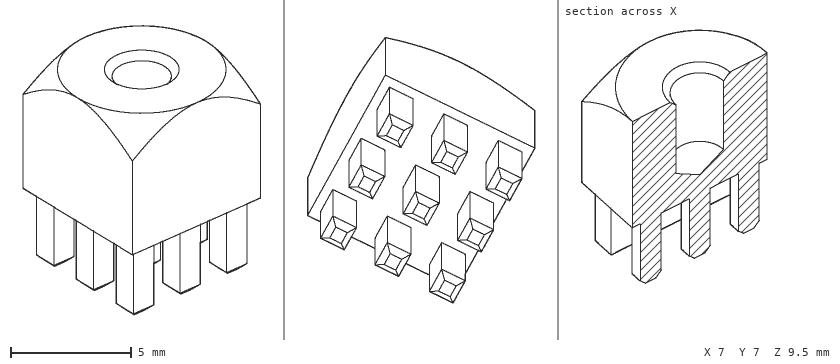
import cadquery as cq
import math

total_height = 9.5
body_width = 7.0
body_height = 6.0
corner_slope = 45.0

pin_width = 1.11
pin_pitch = 2.55
pins_per_side = 3
pin_tip_chamfer = 0.285
pin_length = total_height - body_height

hole_diameter = 2.46
hole_mouth_diameter = 3.11
hole_depth = 4.18
drill_point_angle = 118.0


def make_body():
    """Square block whose top corners are trimmed by a cone around Z."""
    block = cq.Workplane("XY").box(body_width, body_width, body_height, centered=(True, True, False))
    top_radius = body_width / 2
    corner_radius = body_width / math.sqrt(2)
    outer_radius = corner_radius + top_radius
    cone_drop = (outer_radius - top_radius) * math.tan(math.radians(corner_slope))
    envelope = (
        cq.Workplane("XZ")
        .moveTo(0, 0)
        .lineTo(outer_radius, 0)
        .lineTo(outer_radius, body_height - cone_drop)
        .lineTo(top_radius, body_height)
        .lineTo(0, body_height)
        .close()
        .revolve(360, (0, 0, 0), (0, 1, 0))
    )
    return block.intersect(envelope)


def make_hole():
    """Countersunk blind hole with a conical drill point."""
    hole_radius = hole_diameter / 2
    mouth_radius = hole_mouth_diameter / 2
    countersink_depth = mouth_radius - hole_radius
    wall_end = body_height - hole_depth
    point_depth = hole_radius / math.tan(math.radians(drill_point_angle / 2))
    return (
        cq.Workplane("XZ")
        .moveTo(0, wall_end - point_depth)
        .lineTo(hole_radius, wall_end)
        .lineTo(hole_radius, body_height - countersink_depth)
        .lineTo(mouth_radius, body_height)
        .lineTo(0, body_height)
        .close()
        .revolve(360, (0, 0, 0), (0, 1, 0))
    )


def make_pins():
    """Square grid of square pins with chamfered tips, hanging below the body."""
    return (
        cq.Workplane("XY")
        .rarray(pin_pitch, pin_pitch, pins_per_side, pins_per_side)
        .rect(pin_width, pin_width)
        .extrude(-pin_length)
        .faces("<Z")
        .edges()
        .chamfer(pin_tip_chamfer)
    )


result = make_body().cut(make_hole()).union(make_pins())